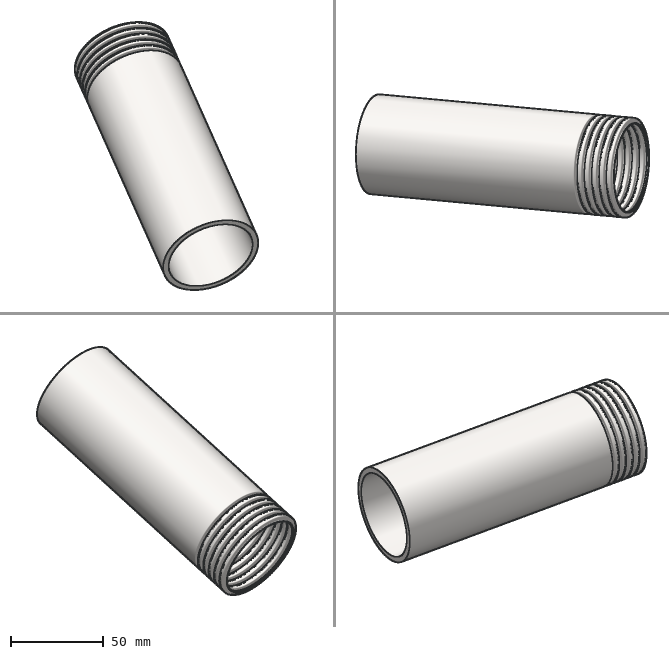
import cadquery as cq

length = 150.0
outer_diameter = 54.3
root_bore = 47.8
wall = 0.5
edge_tolerance = wall / 10

convolution_count = 5
first_crest_start = 0.8
tube_start = 22.2
pitch = (tube_start - first_crest_start) / convolution_count
crest_width = (pitch + 2 * wall) / 2

bend_radius = 0.5

crest_radius = outer_diameter / 2
root_radius = root_bore / 2 + wall


def cylinder(radius, start, end):
    return cq.Workplane("YZ", origin=(start, 0, 0)).circle(radius).extrude(end - start)


def rounded_rims(body, radius):
    """Round the circular edges of the given radius, except at the open ends of the tube."""
    open_ends = (0, length)
    rims = [
        edge
        for edge in body.edges("%CIRCLE").vals()
        if abs(edge.radius() - radius) < edge_tolerance
        and all(abs(edge.Center().x - end) > edge_tolerance for end in open_ends)
    ]
    return body.newObject(rims).fillet(bend_radius)


def convoluted_body(inset):
    """Root cylinder with crest discs, bounded by the surface `inset` below the outer wall face."""
    body = cylinder(root_radius - inset, 0, length)
    for index in range(convolution_count):
        start = first_crest_start + index * pitch
        body = body.union(cylinder(crest_radius - inset, start + inset, start + crest_width - inset))
    return body


def with_rounded_bends(body, inset):
    """Round the crest and root corners of the wall surface at depth `inset`."""
    body = rounded_rims(body, crest_radius - inset)
    return rounded_rims(body, root_radius - inset)


plain_tube = cylinder(crest_radius, tube_start, length)
outer_body = with_rounded_bends(convoluted_body(inset=0).union(plain_tube), inset=0)

inner_body = with_rounded_bends(convoluted_body(inset=wall), inset=wall)

result = outer_body.cut(inner_body)